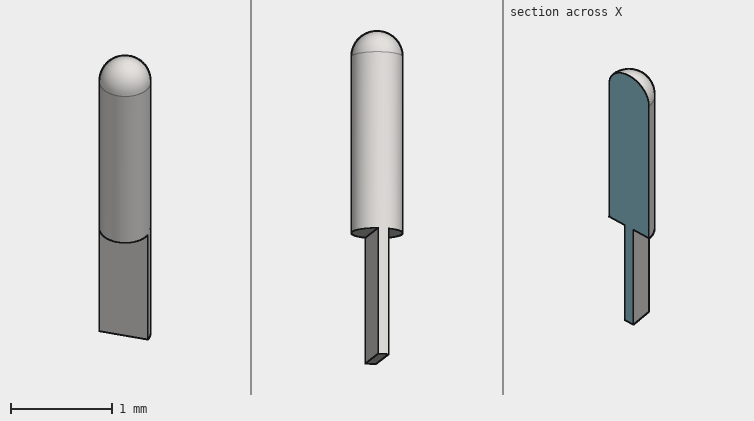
import cadquery as cq

total_height = 3.3
pin_diameter = 0.51
blade_height = 1.267
blade_thickness = 0.11

pin_radius = pin_diameter / 2
dome_base_height = total_height - pin_radius


def round_pin():
    """Full-height round pin with a hemispherical top, standing on Z = 0."""
    half_profile = (
        cq.Workplane("XZ")
        .lineTo(pin_radius, 0)
        .lineTo(pin_radius, dome_base_height)
        .radiusArc((0, total_height), -pin_radius)
        .close()
    )
    return half_profile.revolve(360, (0, 0, 0), (0, 1, 0))


def side_cutter(side):
    """Block that flattens the lower pin on one side (+1 for +Y, -1 for -Y)."""
    center_y = side * (blade_thickness + pin_diameter) / 2
    return (
        cq.Workplane("XY")
        .center(0, center_y)
        .rect(2 * pin_diameter, pin_diameter)
        .extrude(blade_height)
    )


result = round_pin()
for side in (-1, 1):
    result = result.cut(side_cutter(side))